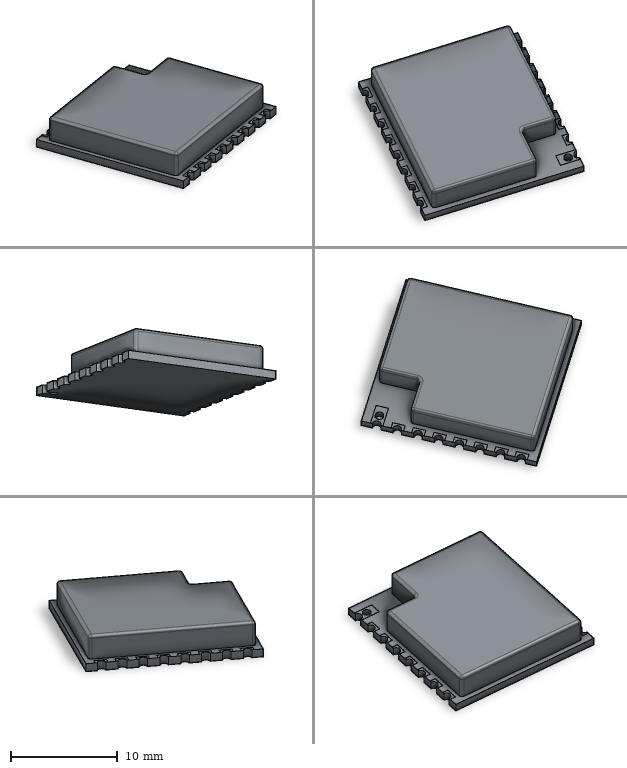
import cadquery as cq

board_width = 16.0
board_length = 17.0
board_thickness = 0.8
total_height = 3.21

pads_per_side = 8
end_pad_offset = 1.5
pad_pitch = (board_length - 2 * end_pad_offset) / (pads_per_side - 1)
pad_depth = 0.6
pad_length = 1.2
pad_height = 0.01
castellation_radius = 0.4

long_pad_depth = 2.0
pad_hole_diameter = 0.8

can_side_inset = 1.0
can_end_inset = 0.5
notch_width = 3.5
notch_length = 4.01
can_edge_radius = 0.3

left = -board_width / 2
right = board_width / 2
rear = board_length / 2
first_pad_y = -rear + end_pad_offset
last_pad_y = rear - end_pad_offset
pad_positions = [first_pad_y + i * pad_pitch for i in range(pads_per_side)]


def make_board():
    return cq.Workplane("XY").box(
        board_width, board_length, board_thickness, centered=(True, True, False)
    )


def make_can():
    can_left = left + can_side_inset
    can_rear = rear - can_end_inset
    outline = [
        (can_left, -can_rear),
        (-can_left, -can_rear),
        (-can_left, can_rear),
        (can_left + notch_width, can_rear),
        (can_left + notch_width, can_rear - notch_length),
        (can_left, can_rear - notch_length),
    ]
    return (
        cq.Workplane("XY", origin=(0, 0, board_thickness))
        .polyline(outline)
        .close()
        .extrude(total_height - board_thickness)
        .edges("|Z")
        .fillet(can_edge_radius)
        .faces(">Z")
        .edges()
        .fillet(can_edge_radius)
    )


def make_pad(edge_x, depth, y):
    """Thin pad running from a board edge toward the middle of the board."""
    center_x = edge_x + depth / 2 if edge_x < 0 else edge_x - depth / 2
    return (
        cq.Workplane("XY")
        .center(center_x, y)
        .rect(depth, pad_length)
        .extrude(board_thickness + pad_height)
    )


def add_pads(body):
    for y in pad_positions:
        left_depth = long_pad_depth if y == pad_positions[-1] else pad_depth
        body = body.union(make_pad(left, left_depth, y))
        body = body.union(make_pad(right, pad_depth, y))
    return body


def cut_castellations(body):
    centers = [(x, y) for x in (left, right) for y in pad_positions]
    cutters = (
        cq.Workplane("XY")
        .pushPoints(centers)
        .circle(castellation_radius)
        .extrude(total_height)
    )
    return body.cut(cutters)


def cut_pad_hole(body):
    hole = (
        cq.Workplane("XY")
        .center(left + long_pad_depth / 2, last_pad_y)
        .circle(pad_hole_diameter / 2)
        .extrude(total_height)
    )
    return body.cut(hole)


board = add_pads(make_board())
board = cut_castellations(board)
board = cut_pad_hole(board)
result = board.union(make_can())